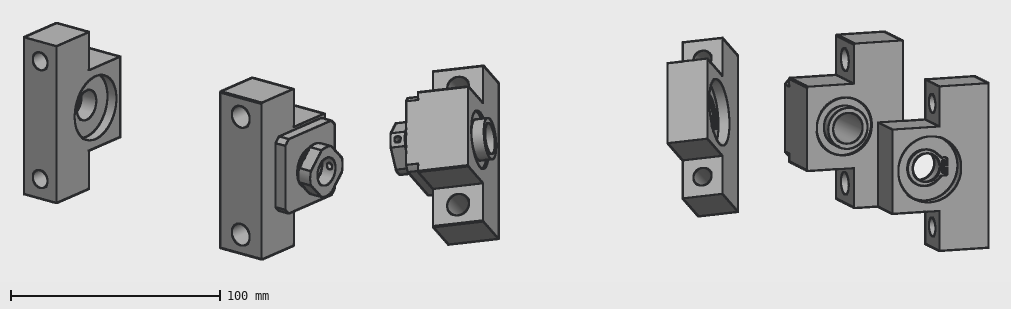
import cadquery as cq
import math

BLOCK_HEIGHT = 80.0
BLOCK_DEPTH = 49.0
AXIS_HEIGHT = 30.0
BASE_DEPTH = 25.1
NECK_HEIGHT = 41.0
BOLT_SPACING = 60.0
MOUNT_FACE_Y = -AXIS_HEIGHT
SHOULDER_Y = MOUNT_FACE_Y + BASE_DEPTH
NECK_TOP_Y = MOUNT_FACE_Y + BLOCK_DEPTH
SHAFT_DIAMETER = 15.0

FLOAT_LENGTH = 20.0
FLOAT_BOLT_DIAMETER = 9.0
BEARING_DIAMETER = 32.0
BEARING_WIDTH = 9.0
BEARING_START = (FLOAT_LENGTH - BEARING_WIDTH) / 2
BEARING_END = BEARING_START + BEARING_WIDTH

RING_BORE = 13.8
RING_RADIUS = 8.9
RING_OFFSET = 0.6
RING_THICKNESS = 1.0
RING_GAP = 1.3
LUG_WIDTH = 3.7
LUG_INNER = 7.7
LUG_OUTER = 10.6
LUG_CORNER = 1.1
LUG_HOLE_DIAMETER = 1.8
LUG_HOLE_REACH = 8.9
LUG_HOLE_SPACING = 4.3

OVERALL_LENGTH = 161
FIXED_START = 120.0
FIXED_LENGTH = 25.1
FIXED_END = FIXED_START + FIXED_LENGTH
FIXED_BOLT_DIAMETER = 11.0
EDGE_CHAMFER = 0.5
COVER_LENGTH = 6.0
COVER_SIZE = 2 * NECK_TOP_Y
COVER_DIAMETER = 50.0
COVER_END = FIXED_END + COVER_LENGTH
FACE_RECESS_DIAMETER = 28.0
FACE_RECESS_DEPTH = 1.1

SLEEVE_START = 115.0
SLEEVE_DIAMETER = 20.0

NUT_DIAMETER = 25.0
NUT_FLATS = 22.0
NUT_LENGTH = 7.2
NUT_BOSS_DIAMETER = 21
NUT_BOSS_LENGTH = 1.0
NUT_BORE = 13.8
SET_SCREW_DIAMETER = 3.2
NUT_FACE = OVERALL_LENGTH - NUT_LENGTH
SLEEVE_END = NUT_FACE - NUT_BOSS_LENGTH


def cross_section(x):
    """Sketch plane across the screw axis at X, with Y and Z as its axes."""
    return cq.Workplane("YZ", origin=(x, 0, 0))


def cylinder(diameter, start, end):
    """Cylinder on the screw axis between two X positions."""
    return cross_section(start).circle(diameter / 2).extrude(end - start)


def t_block(start, length):
    """Plain T-shaped support block, extruded along X."""
    outline = [
        (MOUNT_FACE_Y, -BLOCK_HEIGHT / 2),
        (SHOULDER_Y, -BLOCK_HEIGHT / 2),
        (SHOULDER_Y, -NECK_HEIGHT / 2),
        (NECK_TOP_Y, -NECK_HEIGHT / 2),
        (NECK_TOP_Y, NECK_HEIGHT / 2),
        (SHOULDER_Y, NECK_HEIGHT / 2),
        (SHOULDER_Y, BLOCK_HEIGHT / 2),
        (MOUNT_FACE_Y, BLOCK_HEIGHT / 2),
    ]
    return cross_section(start).polyline(outline).close().extrude(length)


def bolt_holes(start, length, diameter):
    """Cutters for the two mounting holes, centred on the block and running along Y."""
    return (
        cq.Workplane("XZ", origin=(start + length / 2, NECK_TOP_Y, 0))
        .pushPoints([(0, -BOLT_SPACING / 2), (0, BOLT_SPACING / 2)])
        .circle(diameter / 2)
        .extrude(BLOCK_DEPTH)
    )


def make_float_housing():
    block = t_block(0, FLOAT_LENGTH)
    block = block.cut(bolt_holes(0, FLOAT_LENGTH, FLOAT_BOLT_DIAMETER))
    return block.cut(cylinder(BEARING_DIAMETER, 0, FLOAT_LENGTH))


def make_bearing():
    """Plain ring centred in the length of the floating-end housing."""
    ring = cylinder(BEARING_DIAMETER, BEARING_START, BEARING_END)
    return ring.cut(cylinder(SHAFT_DIAMETER, BEARING_START, BEARING_END))


def make_retaining_ring():
    plane = cross_section(BEARING_START - RING_THICKNESS)
    rim = plane.center(RING_OFFSET, 0).circle(RING_RADIUS).extrude(RING_THICKNESS)

    flank_z = RING_GAP / 2 + LUG_WIDTH
    flank_distance = math.hypot(LUG_INNER + RING_OFFSET, flank_z)
    tangent_angle = math.atan2(flank_z, LUG_INNER + RING_OFFSET) + math.acos(RING_RADIUS / flank_distance)
    tangent_y = RING_OFFSET - RING_RADIUS * math.cos(tangent_angle)
    tangent_z = RING_RADIUS * math.sin(tangent_angle)
    lug_outline = [
        (RING_OFFSET, 0),
        (tangent_y, tangent_z),
        (-LUG_INNER, flank_z),
        (-LUG_OUTER, flank_z),
        (-LUG_OUTER, -flank_z),
        (-LUG_INNER, -flank_z),
        (tangent_y, -tangent_z),
    ]
    lugs = plane.polyline(lug_outline).close().extrude(RING_THICKNESS)
    lugs = lugs.faces("<Y").edges("|X").fillet(LUG_CORNER)

    bore = plane.circle(RING_BORE / 2).extrude(RING_THICKNESS)
    gap = plane.center(-LUG_OUTER / 2, 0).rect(LUG_OUTER, RING_GAP).extrude(RING_THICKNESS)
    lug_holes = (
        plane.pushPoints([(-LUG_HOLE_REACH, side * LUG_HOLE_SPACING / 2) for side in (-1, 1)])
        .circle(LUG_HOLE_DIAMETER / 2)
        .extrude(RING_THICKNESS)
    )
    return rim.union(lugs).cut(bore).cut(gap).cut(lug_holes)


def make_fixed_housing():
    """T-block with chamfered outer edges along X and a square cover plate on its +X face."""
    block = t_block(FIXED_START, FIXED_LENGTH)
    inner_corners = cq.selectors.BoxSelector(
        (FIXED_START, SHOULDER_Y - EDGE_CHAMFER, -NECK_HEIGHT / 2 - EDGE_CHAMFER),
        (FIXED_END, SHOULDER_Y + EDGE_CHAMFER, NECK_HEIGHT / 2 + EDGE_CHAMFER),
    )
    long_edges = cq.selectors.ParallelDirSelector(cq.Vector(1, 0, 0))
    block = block.edges(cq.selectors.SubtractSelector(long_edges, inner_corners)).chamfer(EDGE_CHAMFER)
    block = block.cut(bolt_holes(FIXED_START, FIXED_LENGTH, FIXED_BOLT_DIAMETER))

    cover = cross_section(FIXED_END).rect(COVER_SIZE, COVER_SIZE).extrude(COVER_LENGTH)
    cover = cover.intersect(cylinder(COVER_DIAMETER, FIXED_END, COVER_END))

    recess = cylinder(FACE_RECESS_DIAMETER, FIXED_START, FIXED_START + FACE_RECESS_DEPTH)
    bore = cylinder(SLEEVE_DIAMETER, FIXED_START, COVER_END)
    return block.union(cover).cut(recess).cut(bore)


def make_sleeve():
    tube = cylinder(SLEEVE_DIAMETER, SLEEVE_START, SLEEVE_END)
    return tube.cut(cylinder(SHAFT_DIAMETER, SLEEVE_START, SLEEVE_END))


def make_lock_nut():
    """Round nut with four flats at 45 degrees, a boss against the sleeve and a set-screw hole."""
    flats = cross_section(NUT_FACE).rect(NUT_FLATS, NUT_FLATS).extrude(NUT_LENGTH)
    flats = flats.rotate((0, 0, 0), (1, 0, 0), 45)
    body = cylinder(NUT_DIAMETER, NUT_FACE, OVERALL_LENGTH).intersect(flats)
    boss = cylinder(NUT_BOSS_DIAMETER, SLEEVE_END, NUT_FACE)
    bore = cylinder(NUT_BORE, SLEEVE_END, OVERALL_LENGTH)
    set_screw_hole = (
        cq.Workplane("XZ", origin=(NUT_FACE + NUT_LENGTH / 2, 0, 0))
        .circle(SET_SCREW_DIAMETER / 2)
        .extrude(-NUT_DIAMETER / 2)
    )
    return body.union(boss).cut(bore).cut(set_screw_hole)


float_housing = make_float_housing()
bearing = make_bearing()
retaining_ring = make_retaining_ring()
fixed_housing = make_fixed_housing()
sleeve = make_sleeve()
lock_nut = make_lock_nut()

result = cq.Compound.makeCompound([
    float_housing.val(),
    bearing.val(),
    retaining_ring.val(),
    fixed_housing.val(),
    sleeve.val(),
    lock_nut.val(),
])